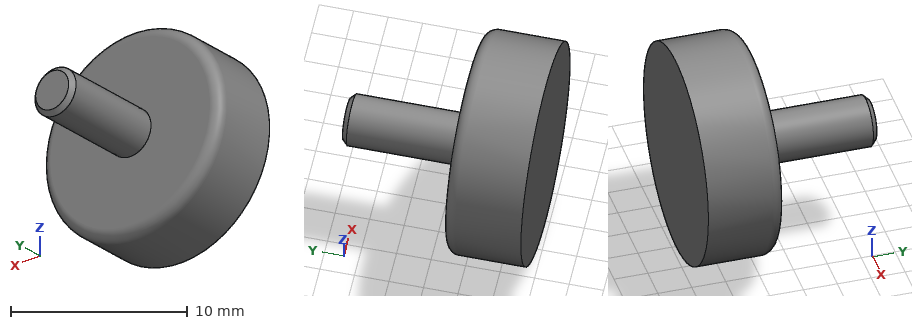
import cadquery as cq

head_diameter = 13.0
overall_length = 11.5
head_thickness = 4.5
head_fillet = 0.68
stud_diameter = 3.0
stud_chamfer = 0.3
stud_length = overall_length - head_thickness


def cylinder_along_y(diameter, start_y, length):
    """Cylinder on the Y axis, running from start_y toward +Y."""
    base = cq.Workplane("XZ", origin=(0, start_y, 0))
    return base.circle(diameter / 2).extrude(-length)


head = cylinder_along_y(head_diameter, 0, head_thickness)
head = head.faces(">Y").edges().fillet(head_fillet)

stud = cylinder_along_y(stud_diameter, head_thickness, stud_length)
stud = stud.faces(">Y").edges().chamfer(stud_chamfer)

result = head.union(stud)